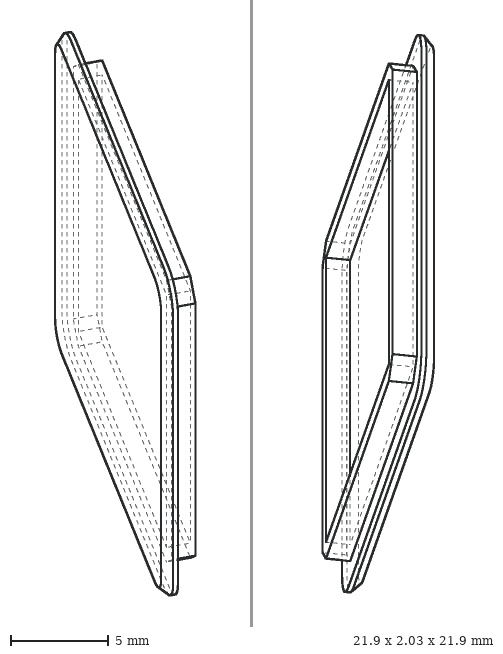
import cadquery as cq

plate_side = 21.85
plate_thickness = 0.76
plate_corner_radius = 1.81
front_bevel = 0.5

frame_side = 19.3
frame_depth = 1.27
frame_corner_cut = 1.0
frame_wall = 1.0


def square_block(side, depth):
    """Square block centred on the Y axis, from the plate's back face (Y = 0) towards +Y."""
    return cq.Workplane("XZ").rect(side, side).extrude(-depth)


def cover_plate():
    """Plate from Y = 0 towards -Y, leaving a short straight rim behind the bevel."""
    plate = cq.Workplane("XZ").rect(plate_side, plate_side).extrude(plate_thickness)
    rounded = plate.edges("|Y").fillet(plate_corner_radius)
    return rounded.faces("<Y").edges().chamfer(front_bevel)


def locating_frame():
    """Open frame; its cavity ends at the back face of the plate."""
    outside = square_block(frame_side, frame_depth).edges("|Y").chamfer(frame_corner_cut)
    cavity = square_block(frame_side - 2 * frame_wall, frame_depth)
    return outside.cut(cavity)


result = cover_plate().union(locating_frame())